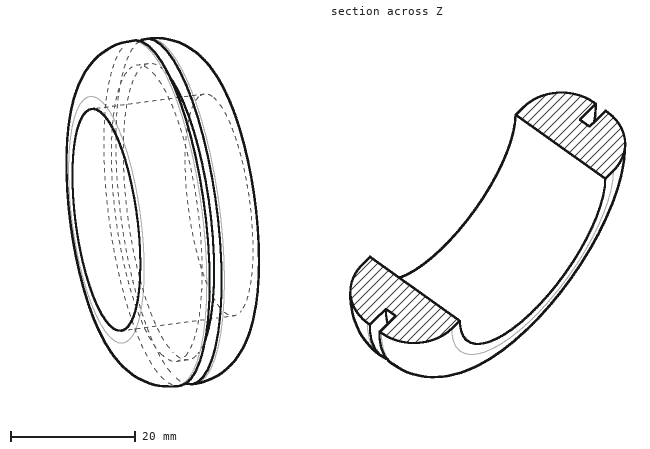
import cadquery as cq

outer_radius = 28.0
bore_radius = 18.0
groove_radius = 24.0
width = 19.0
groove_width = 2.0
rounding_radius = 8.0


def cylinder(radius, length):
    """Solid cylinder along the Y axis, centred on the origin."""
    return cq.Workplane("XZ", origin=(0, length / 2, 0)).circle(radius).extrude(length)


body = cylinder(outer_radius, width).edges("%CIRCLE").fillet(rounding_radius)

bore = cylinder(bore_radius, width)

groove = cylinder(outer_radius, groove_width).cut(cylinder(groove_radius, groove_width))

result = body.cut(bore).cut(groove)